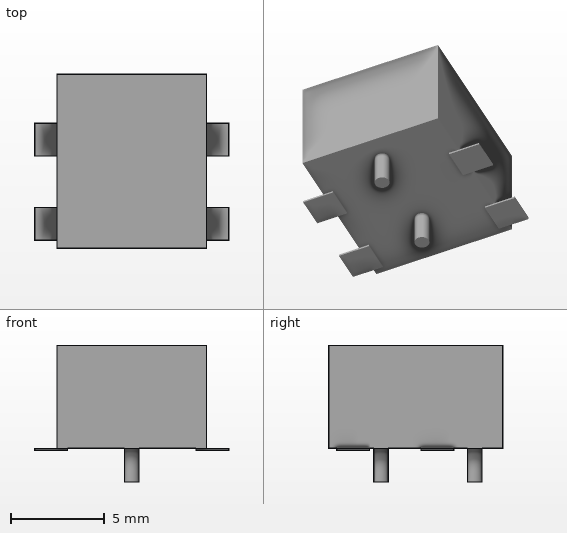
import cadquery as cq

housing_width = 8.0
housing_depth = 9.3
housing_height = 5.5

overall_width = 10.36
pad_length = 1.76
pad_width = 1.76
pad_thickness = 0.1
pad_pitch = 4.5
front_pad_y = -3.35
pad_rows = [front_pad_y, front_pad_y + pad_pitch]
pad_x = (overall_width - pad_length) / 2

peg_diameter = 0.8
peg_length = 1.8
peg_pitch = 5.0
front_peg_y = -1.85
peg_rows = [front_peg_y, front_peg_y + peg_pitch]


def make_housing():
    return cq.Workplane("XY").box(
        housing_width, housing_depth, housing_height, centered=(True, True, False)
    )


def make_pad(x, y):
    """Thin plate whose top face lies against the housing underside."""
    pad = cq.Workplane("XY").rect(pad_length, pad_width).extrude(-pad_thickness)
    return pad.translate((x, y, 0))


def make_peg(y):
    """Cylinder hanging from the housing underside."""
    peg = cq.Workplane("XY").circle(peg_diameter / 2).extrude(-peg_length)
    return peg.translate((0, y, 0))


housing = make_housing()
pads = [make_pad(side * pad_x, y) for side in (-1, 1) for y in pad_rows]
pegs = [make_peg(y) for y in peg_rows]

result = cq.Compound.makeCompound(
    [housing.val()] + [pad.val() for pad in pads] + [peg.val() for peg in pegs]
)